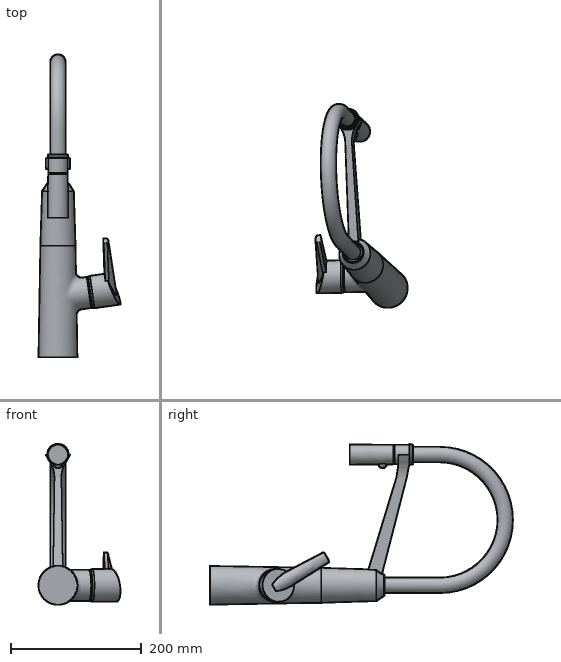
import cadquery as cq
import math


base_radius = 30.0
seam_y = 170.6
seam_radius = 27.1
shoulder_y = 254.2
shoulder_radius = 24.5
sleeve_end_y = 267.0
cone_end_y = 265.9
cone_end_radius = 16.6
sleeve_end_radius = 15.2

hose_radius = 12.0
bend_radius = 100.0
bend_y = 351.6
head_z = 2 * bend_radius

head_front_y = 213.8
head_front_radius = 15.8
head_back_y = 281.4
collar_radius = 15.2
collar_end_y = 305.8
collar_edge_chamfer = 1.0
lip_width = 1.0
lip_radius = 16.5
nut_end_y = 310.6
nut_radius = 15.6
nut_chamfer = 1.0

button_y = 264.0
button_radius = 6.8
button_depth = 14.2

fork_front_y = 287.9
fork_back_y = collar_end_y - lip_width
fork_corner_radius = 3.0
fork_tip_x = 18.7
fork_knee_x = 13.5
fork_knee_drop = 9.6
fork_base_drop = 16.0
arm_top_z = 165.0
arm_top_half_width = 5.2
arm_foot_half_width = 7.7
arm_top_front_y = 285.0
arm_top_back_y = 301.2
arm_foot_front_y = 234.8
arm_foot_back_y = 258.9

valve_y = 92.65
valve_tilt = 8.0
lever_turn = 30.0
neck_radius = 24.2
neck_end = 48.4
neck_blend = 8.0
neck_chamfer = 0.7
ring_radius = 22.6
ring_end = 50.0
hub_radius = 25.2
hub_start_radius = 24.2
hub_cone_end = 53.0
hub_face_height = 85.8
hub_face_slope = 0.31

lever_root_reach = -8.0
lever_tip_reach = 86.5
lever_root_half_width = 12.5
lever_tip_half_width = 8.7
lever_root_bottom = 73.0
lever_bottom_slope = 0.09
lever_edge_thickness = 5.5
lever_root_crown = 89.6
lever_tip_crown = 88.6
lever_tip_fillet = 1.5


def turned(points):
    """Solid of revolution about the Y axis from (radius, y) points."""
    outline = [(0, points[0][1])] + points + [(0, points[-1][1])]
    return cq.Workplane("XY").polyline(outline).close().revolve(360, (0, 0), (0, 1))


def at_head(shape):
    """Move a shape from the body axis up to the spray head axis."""
    return shape.translate((0, 0, head_z))


def place_valve(shape):
    """Move a shape modelled with its axis on Z and its lever toward +X onto the side of the body."""
    tilt = math.radians(valve_tilt)
    turn = math.radians(lever_turn)
    axis = cq.Vector(math.cos(tilt), math.sin(tilt), 0)
    across = cq.Vector(-axis.y, axis.x, 0)
    reach = across * math.cos(turn) + cq.Vector(0, 0, math.sin(turn))
    plane = cq.Plane(origin=(0, valve_y, 0), xDir=reach, normal=axis)
    return cq.Workplane(shape.val().moved(cq.Location(plane)))


def make_body():
    barrel = turned([(base_radius, 0), (seam_radius, seam_y)])
    neck = cq.Workplane("XY").circle(neck_radius).extrude(neck_end).faces(">Z").chamfer(neck_chamfer)
    body = barrel.union(place_valve(neck))
    blend_box = cq.selectors.BoxSelector(
        (0, valve_y - base_radius, -base_radius),
        (base_radius, valve_y + base_radius, base_radius),
    )
    return body.edges(blend_box).fillet(neck_blend)


def make_sleeve():
    return turned([
        (seam_radius, seam_y),
        (shoulder_radius, shoulder_y),
        (cone_end_radius, cone_end_y),
        (sleeve_end_radius, sleeve_end_y),
    ])


def make_hose():
    path = (
        cq.Workplane("YZ")
        .moveTo(sleeve_end_y, 0)
        .lineTo(bend_y, 0)
        .threePointArc((bend_y + bend_radius, bend_radius), (bend_y, head_z))
        .lineTo(nut_end_y, head_z)
    )
    return cq.Workplane("XZ", origin=(0, sleeve_end_y, 0)).circle(hose_radius).sweep(path)


def make_button():
    return cq.Workplane("XY").sphere(button_radius).translate((0, button_y, head_z - button_depth))


def make_head(button):
    head = turned([
        (head_front_radius, head_front_y),
        (collar_radius, head_back_y - collar_edge_chamfer),
        (collar_radius - collar_edge_chamfer, head_back_y),
    ])
    return at_head(head).cut(button)


def make_collar():
    return at_head(turned([
        (collar_radius - collar_edge_chamfer, head_back_y),
        (collar_radius, head_back_y + collar_edge_chamfer),
        (collar_radius, fork_back_y),
        (lip_radius, fork_back_y),
        (lip_radius, collar_end_y),
    ]))


def make_nut():
    return at_head(turned([
        (nut_radius, collar_end_y),
        (nut_radius, nut_end_y - nut_chamfer),
        (nut_radius - nut_chamfer, nut_end_y),
    ]))


def make_arm(collar, sleeve):
    """Cross the arm's side outline with its front outline, then fit it to its neighbours."""
    side = (
        cq.Workplane("YZ", origin=(-fork_tip_x, 0, 0))
        .polyline([
            (arm_foot_front_y, 0),
            (arm_top_front_y, arm_top_z),
            (fork_front_y, head_z - fork_base_drop),
            (fork_front_y, head_z),
            (fork_back_y, head_z),
            (fork_back_y, head_z - fork_base_drop),
            (arm_top_back_y, arm_top_z),
            (arm_foot_back_y, 0),
        ])
        .close()
        .extrude(2 * fork_tip_x)
        .edges(cq.selectors.NearestToPointSelector((0, fork_front_y, head_z)))
        .fillet(fork_corner_radius)
    )

    knee_z = head_z - fork_knee_drop
    flank_in = fork_knee_x - arm_top_half_width
    flank_drop = knee_z - arm_top_z
    flank_radius = (flank_in**2 + flank_drop**2) / (2 * flank_in)
    half_angle = math.asin(flank_drop / flank_radius) / 2
    flank_mid_x = arm_top_half_width + flank_radius * (1 - math.cos(half_angle))
    flank_mid_z = arm_top_z + flank_radius * math.sin(half_angle)
    front = (
        cq.Workplane("XZ")
        .moveTo(fork_tip_x, head_z)
        .lineTo(fork_knee_x, knee_z)
        .threePointArc((flank_mid_x, flank_mid_z), (arm_top_half_width, arm_top_z))
        .lineTo(arm_foot_half_width, 0)
        .lineTo(-arm_foot_half_width, 0)
        .lineTo(-arm_top_half_width, arm_top_z)
        .threePointArc((-flank_mid_x, flank_mid_z), (-fork_knee_x, knee_z))
        .lineTo(-fork_tip_x, head_z)
        .close()
        .extrude(-collar_end_y)
    )
    return side.intersect(front).cut(collar).cut(sleeve)


def make_ring():
    ring = cq.Workplane("XY").workplane(offset=neck_end).circle(ring_radius).extrude(ring_end - neck_end)
    return place_valve(ring)


def make_blade():
    """Lever blade: flat underneath, domed on top, lofted from the hub to the tip."""
    def section(wp, reach, half_width, crown):
        bottom = lever_root_bottom + lever_bottom_slope * reach
        edge = bottom + lever_edge_thickness
        return (
            wp.moveTo(-half_width, bottom)
            .lineTo(half_width, bottom)
            .lineTo(half_width, edge)
            .threePointArc((0, crown), (-half_width, edge))
            .close()
        )

    root = section(cq.Workplane("YZ", origin=(lever_root_reach, 0, 0)),
                   lever_root_reach, lever_root_half_width, lever_root_crown)
    blade = section(root.workplane(offset=lever_tip_reach - lever_root_reach),
                    lever_tip_reach, lever_tip_half_width, lever_tip_crown)
    return blade.loft(ruled=True).faces(">X").edges().fillet(lever_tip_fillet)


def make_handle():
    """Hub with a slanted end face and a lever blade growing out of it."""
    low_face = hub_face_height - hub_face_slope * hub_radius
    high_face = hub_face_height + hub_face_slope * hub_radius
    hub = (
        cq.Workplane("XZ")
        .polyline([(0, ring_end), (hub_start_radius, ring_end), (hub_radius, hub_cone_end),
                   (hub_radius, high_face), (0, high_face)])
        .close()
        .revolve(360, (0, 0), (0, 1))
    )
    waste = (
        cq.Workplane("XZ")
        .polyline([(-hub_radius, high_face), (hub_radius, low_face), (hub_radius, high_face)])
        .close()
        .extrude(hub_radius, both=True)
    )
    return place_valve(hub.cut(waste).union(make_blade()))


body = make_body()
sleeve = make_sleeve()
hose = make_hose()
button = make_button()
head = make_head(button)
collar = make_collar()
nut = make_nut()
arm = make_arm(collar, sleeve)
ring = make_ring()
handle = make_handle()

result = cq.Compound.makeCompound([
    body.val(),
    sleeve.val(),
    hose.val(),
    button.val(),
    head.val(),
    collar.val(),
    nut.val(),
    arm.val(),
    ring.val(),
    handle.val(),
])